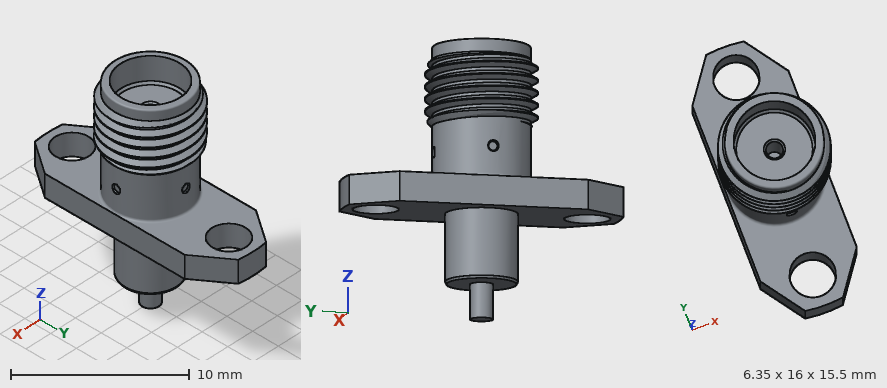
import cadquery as cq
import math

flange_length = 15.98
flange_width = 5.75
flange_thickness = 1.7
flange_tip_width = 2.25
flange_side_length = 10.87
mount_hole_diameter = 2.6
mount_hole_spacing = 12.2

sleeve_diameter = 4.09
sleeve_length = 4.0
sleeve_end_chamfer_width = 0.08
sleeve_end_chamfer_height = 0.15
pin_diameter = 1.3
pin_length = 2.0

barrel_diameter = 5.56
barrel_height = 7.81
barrel_rim_fillet = 0.11
barrel_foot_fillet = 0.16

bore_diameter = 4.59
bore_depth = 1.92
bore_floor_chamfer = 0.16
socket_mouth_diameter = 1.2
socket_diameter = 0.96
socket_depth = 2.4

stake_hole_mouth_diameter = 0.64
stake_hole_floor_diameter = 0.51
stake_hole_depth = 0.11
stake_hole_height = 1.71
stake_hole_count = 4

thread_diameter = 6.35
thread_pitch = 0.7
thread_crest_width = 0.06
thread_flank_angle = 30.0
thread_top_gap = 0.75
thread_length = 3.79
thread_crest_gap = 1.0
thread_root_overlap = 0.05
thread_limit_clearance = 0.16
thread_spare_turns = 2

barrel_radius = barrel_diameter / 2
thread_radius = thread_diameter / 2
thread_top = barrel_height - thread_top_gap
thread_bottom = thread_top - thread_length


def cylinder(diameter, bottom, height):
    return cq.Workplane("XY").workplane(offset=bottom).circle(diameter / 2).extrude(height)


def make_flange():
    half_length = flange_length / 2
    half_width = flange_width / 2
    half_tip = flange_tip_width / 2
    half_side = flange_side_length / 2
    tip_y = math.sqrt(half_length**2 - half_tip**2)
    plate = (
        cq.Workplane("XY")
        .moveTo(half_width, -half_side)
        .lineTo(half_width, half_side)
        .lineTo(half_tip, tip_y)
        .threePointArc((0, half_length), (-half_tip, tip_y))
        .lineTo(-half_width, half_side)
        .lineTo(-half_width, -half_side)
        .lineTo(-half_tip, -tip_y)
        .threePointArc((0, -half_length), (half_tip, -tip_y))
        .close()
        .extrude(-flange_thickness)
    )
    half_spacing = mount_hole_spacing / 2
    holes = (
        cq.Workplane("XY")
        .pushPoints([(0, -half_spacing), (0, half_spacing)])
        .circle(mount_hole_diameter / 2)
        .extrude(-flange_thickness)
    )
    return plate.cut(holes)


def make_sleeve_and_pin():
    sleeve = cylinder(sleeve_diameter, -flange_thickness, -sleeve_length)
    sleeve = sleeve.faces("<Z").chamfer(sleeve_end_chamfer_height, sleeve_end_chamfer_width)
    pin = cylinder(pin_diameter, -flange_thickness, -sleeve_length - pin_length)
    return sleeve.union(pin)


def make_barrel():
    barrel = cylinder(barrel_diameter, 0, barrel_height)
    return barrel.faces(">Z").edges().fillet(barrel_rim_fillet)


def fillet_foot(body):
    reach = barrel_radius + barrel_foot_fillet
    low = (-reach, -reach, -barrel_foot_fillet)
    high = (reach, reach, barrel_foot_fillet)
    corner = cq.selectors.BoxSelector(low, high, boundingbox=True)
    return body.edges(corner).fillet(barrel_foot_fillet)


def make_thread():
    root_radius = barrel_radius - thread_root_overlap
    half_crest = thread_crest_width / 2
    half_root = half_crest + (thread_radius - root_radius) * math.tan(math.radians(thread_flank_angle))
    turns = math.ceil(thread_length / thread_pitch) + thread_spare_turns
    sweep_height = turns * thread_pitch
    start = barrel_height - thread_crest_gap - (turns - 1) * thread_pitch
    helix = cq.Wire.makeHelix(thread_pitch, sweep_height, root_radius, cq.Vector(0, 0, start))
    ridge = (
        cq.Workplane("XZ")
        .polyline(
            [
                (root_radius, start - half_root),
                (thread_radius, start - half_crest),
                (thread_radius, start + half_crest),
                (root_radius, start + half_root),
            ]
        )
        .close()
        .sweep(cq.Workplane(obj=helix), isFrenet=True)
    )
    limit_radius = thread_radius + thread_limit_clearance
    end_chamfer = limit_radius - barrel_radius
    limit = (
        cq.Workplane("XZ")
        .polyline(
            [
                (0, thread_bottom),
                (barrel_radius, thread_bottom),
                (limit_radius, thread_bottom + end_chamfer),
                (limit_radius, thread_top - end_chamfer),
                (barrel_radius, thread_top),
                (0, thread_top),
            ]
        )
        .close()
        .revolve(360, (0, 0, 0), (0, 1, 0))
    )
    return ridge.intersect(limit)


def make_bore():
    floor = barrel_height - bore_depth
    bore = cylinder(bore_diameter, floor, bore_depth).faces("<Z").chamfer(bore_floor_chamfer)
    mouth_depth = (socket_mouth_diameter - socket_diameter) / 2
    mouth = (
        cq.Workplane("XY")
        .workplane(offset=floor)
        .circle(socket_mouth_diameter / 2)
        .workplane(offset=-mouth_depth)
        .circle(socket_diameter / 2)
        .loft()
    )
    return bore.union(cylinder(socket_diameter, floor, -socket_depth)).union(mouth)


def cut_stake_holes(body):
    dimple = (
        cq.Workplane("YZ")
        .workplane(offset=barrel_radius)
        .center(0, stake_hole_height)
        .circle(stake_hole_mouth_diameter / 2)
        .workplane(offset=-stake_hole_depth)
        .circle(stake_hole_floor_diameter / 2)
        .loft()
    )
    for i in range(stake_hole_count):
        body = body.cut(dimple.rotate((0, 0, 0), (0, 0, 1), i * 360 / stake_hole_count))
    return body


body = fillet_foot(make_flange().union(make_barrel()))
body = body.union(make_sleeve_and_pin()).union(make_thread()).cut(make_bore())
result = cut_stake_holes(body)